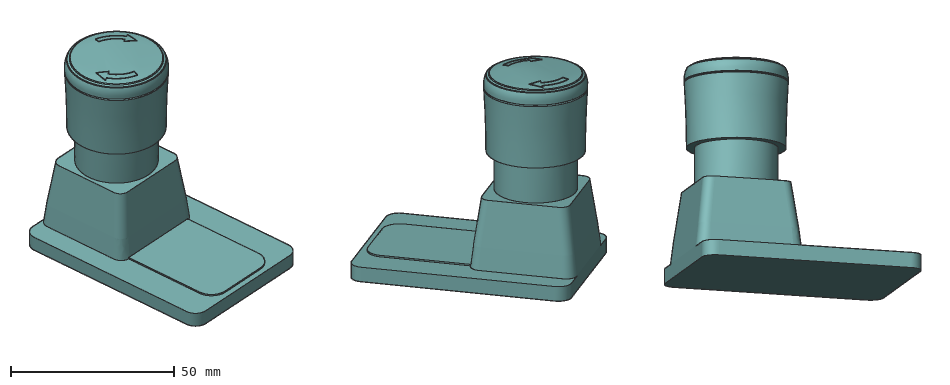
import cadquery as cq
import math

plate_length = 70.0
plate_width = 47.8
plate_thickness = 4.8
plate_corner_radius = 4.2

pad_width = 27.7
pad_end_x = 68.0
pad_height = 0.5
pad_corner_radius = 5.6

tower_foot_side = 33.8
tower_foot_radius = 3.5
tower_waist_z = 12.0
tower_waist_side = 32.1
tower_waist_radius = 3.1
tower_top_z = 27.0
tower_top_side = 28.14
tower_top_radius = 3.0

axis_x = tower_foot_side / 2

total_height = 65.8
stem_radius = 25.69 / 2
grip_bottom_z = 39.45
grip_bottom_radius = 15.3
grip_mid_radius = 15.48
grip_top_radius = 31.96 / 2
groove_bottom_z = 59.85
groove_width = 0.5
grip_mid_z = (grip_bottom_z + groove_bottom_z) / 2
groove_radius = 14.75
cap_band_top_z = 60.93
cap_side_mid_radius = 15.82
cap_side_mid_z = 62.8
cap_shoulder_radius = 15.35
cap_shoulder_z = 64.08
cap_rim_radius = 15.15
cap_rim_z = 64.3
dome_foot_radius = 28.95 / 2
dome_foot_z = 64.58
dome_edge_radius = 14.2
dome_edge_z = 64.84

arrow_radius = 10.7
arrow_shaft_width = 1.95
arrow_head_width = 4.4
arrow_tail_angle = 164.5
arrow_neck_angle = 115.5
arrow_tip_angle = 94.7
arrow_depth = 0.2
arrow_count = 2


def plate():
    return (
        cq.Workplane("XY")
        .box(plate_length, plate_width, plate_thickness, centered=(False, True, False))
        .edges("|Z")
        .fillet(plate_corner_radius)
    )


def pad():
    """Thin pad running from inside the tower to its rounded free end."""
    return (
        cq.Workplane("XY", origin=(axis_x, 0, plate_thickness))
        .box(pad_end_x - axis_x, pad_width, pad_height, centered=(False, True, False))
        .edges("|Z and >X")
        .fillet(pad_corner_radius)
    )


def tower_stage(lower_z, lower_side, lower_radius, upper_z, upper_side, upper_radius):
    """Tapered block between two rounded squares on the button axis."""
    lower = cq.Sketch().rect(lower_side, lower_side).vertices().fillet(lower_radius)
    upper = cq.Sketch().rect(upper_side, upper_side).vertices().fillet(upper_radius)
    return (
        cq.Workplane("XY", origin=(axis_x, 0, lower_z))
        .placeSketch(lower, upper.moved(cq.Location(cq.Vector(0, 0, upper_z - lower_z))))
        .loft(ruled=True)
    )


def make_base():
    lower_stage = tower_stage(
        plate_thickness, tower_foot_side, tower_foot_radius,
        tower_waist_z, tower_waist_side, tower_waist_radius,
    )
    upper_stage = tower_stage(
        tower_waist_z, tower_waist_side, tower_waist_radius,
        tower_top_z, tower_top_side, tower_top_radius,
    )
    return plate().union(pad()).union(lower_stage).union(upper_stage)


dome_rise = total_height - dome_edge_z
dome_sphere_radius = (dome_edge_radius**2 + dome_rise**2) / (2 * dome_rise)


def dome_height(radius):
    """Height of the dome surface at a distance from the button axis."""
    sphere_center_z = total_height - dome_sphere_radius
    return sphere_center_z + math.sqrt(dome_sphere_radius**2 - radius**2)


def button_blank():
    """Revolved button, standing on top of the tower."""
    groove_top_z = groove_bottom_z + groove_width
    dome_mid_radius = dome_edge_radius / 2
    return (
        cq.Workplane("XZ")
        .moveTo(0, tower_top_z)
        .lineTo(stem_radius, tower_top_z)
        .lineTo(stem_radius, grip_bottom_z)
        .lineTo(grip_bottom_radius, grip_bottom_z)
        .threePointArc((grip_mid_radius, grip_mid_z), (grip_top_radius, groove_bottom_z))
        .lineTo(groove_radius, groove_bottom_z)
        .lineTo(groove_radius, groove_top_z)
        .lineTo(grip_top_radius, groove_top_z)
        .lineTo(grip_top_radius, cap_band_top_z)
        .threePointArc((cap_side_mid_radius, cap_side_mid_z), (cap_shoulder_radius, cap_shoulder_z))
        .lineTo(cap_rim_radius, cap_rim_z)
        .lineTo(dome_foot_radius, dome_foot_z)
        .lineTo(dome_edge_radius, dome_edge_z)
        .threePointArc((dome_mid_radius, dome_height(dome_mid_radius)), (0, total_height))
        .close()
        .revolve(360, (0, 0), (0, 1))
    )


def polar(radius, angle):
    return (
        radius * math.cos(math.radians(angle)),
        radius * math.sin(math.radians(angle)),
    )


def arrow_prism():
    """Upright prism of one curved arrow, reaching above the dome."""
    shaft_outer = arrow_radius + arrow_shaft_width / 2
    shaft_inner = arrow_radius - arrow_shaft_width / 2
    head_outer = arrow_radius + arrow_head_width / 2
    head_inner = arrow_radius - arrow_head_width / 2
    middle_angle = (arrow_tail_angle + arrow_neck_angle) / 2
    return (
        cq.Workplane("XY", origin=(0, 0, cap_shoulder_z))
        .moveTo(*polar(shaft_outer, arrow_tail_angle))
        .threePointArc(polar(shaft_outer, middle_angle), polar(shaft_outer, arrow_neck_angle))
        .lineTo(*polar(head_outer, arrow_neck_angle))
        .lineTo(*polar(arrow_radius, arrow_tip_angle))
        .lineTo(*polar(head_inner, arrow_neck_angle))
        .lineTo(*polar(shaft_inner, arrow_neck_angle))
        .threePointArc(polar(shaft_inner, middle_angle), polar(shaft_inner, arrow_tail_angle))
        .close()
        .extrude(total_height - cap_shoulder_z)
    )


def make_button():
    """Button with the arrows sunk to an even depth below the dome surface."""
    blank = button_blank()
    sunken_blank = blank.translate((0, 0, -arrow_depth))
    arrow_cut = arrow_prism().cut(sunken_blank)
    button = blank
    for index in range(arrow_count):
        turn = index * 360 / arrow_count
        button = button.cut(arrow_cut.rotate((0, 0, 0), (0, 0, 1), turn))
    return button.translate((axis_x, 0, 0))


base = make_base()
button = make_button()

result = cq.Compound.makeCompound([base.val(), button.val()])